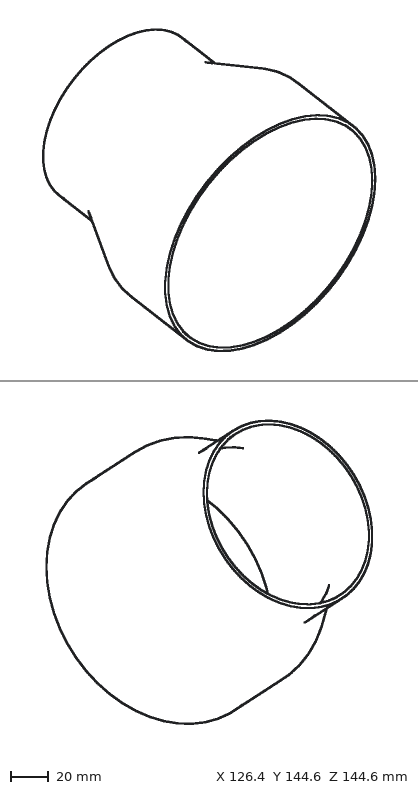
import cadquery as cq
import math

length = 126.4
large_radius = 72.3
small_radius = 53.4
wall = 2.2
small_pipe_length = 34.0
cone_angle = math.radians(25.0)
small_bend_radius = 4.8
large_bend_radius = 14.0

bend_rise = (small_bend_radius + large_bend_radius) * (1 - math.cos(cone_angle))
bend_run = (small_bend_radius + large_bend_radius) * math.sin(cone_angle)
cone_run = (large_radius - small_radius - bend_rise) / math.tan(cone_angle)
large_bend_x = small_pipe_length + bend_run + cone_run
small_center = (small_pipe_length, small_radius + small_bend_radius)
large_center = (large_bend_x, large_radius - large_bend_radius)


def bend_point(center, radius, angle):
    """Point on a bend; angle is the wall slope there, negative radius is below the center."""
    return (center[0] - radius * math.sin(angle), center[1] + radius * math.cos(angle))


def revolved_body(inset):
    """Solid bounded by the outer surface moved inward by the inset."""
    small_bend = -(small_bend_radius + inset)
    large_bend = large_bend_radius - inset
    profile = (
        cq.Workplane("XY")
        .moveTo(0, 0)
        .lineTo(0, small_radius - inset)
        .lineTo(*bend_point(small_center, small_bend, 0))
        .threePointArc(
            bend_point(small_center, small_bend, cone_angle / 2),
            bend_point(small_center, small_bend, cone_angle),
        )
        .lineTo(*bend_point(large_center, large_bend, cone_angle))
        .threePointArc(
            bend_point(large_center, large_bend, cone_angle / 2),
            bend_point(large_center, large_bend, 0),
        )
        .lineTo(length, large_radius - inset)
        .lineTo(length, 0)
        .close()
    )
    return profile.revolve(360, (0, 0, 0), (1, 0, 0))


result = revolved_body(0).cut(revolved_body(wall))